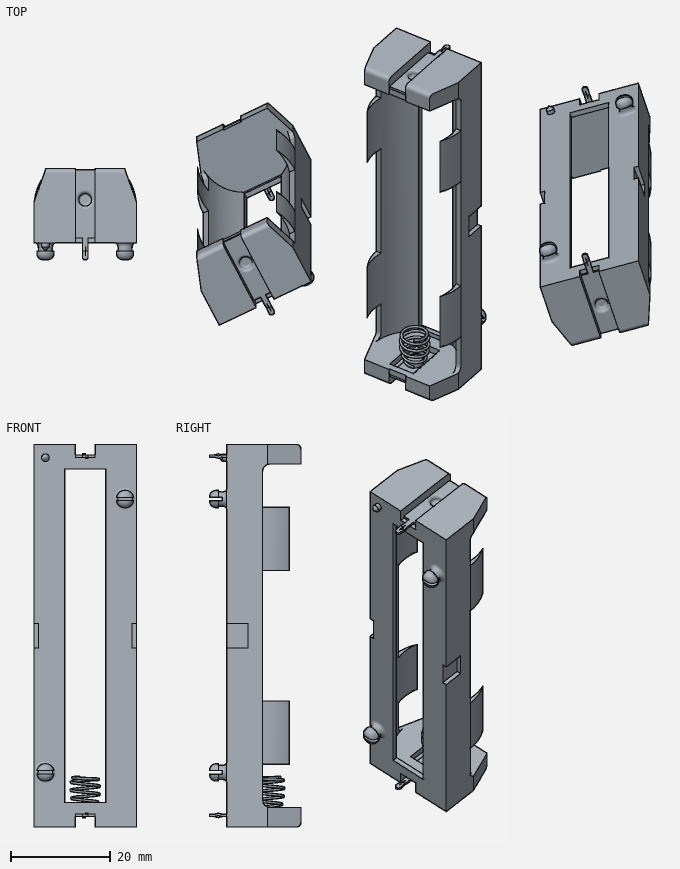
import cadquery as cq
import math

LENGTH = 77.05
WIDTH = 20.65
HALF_LENGTH = LENGTH / 2
HALF_WIDTH = WIDTH / 2
HEIGHT = 14.95
RAIL_HEIGHT = 7.25
END_THICKNESS = 4.0
TAPER_START = 8.2
TAPERED_HALF_WIDTH = 7.9
BLOCK_EDGE_RADIUS = 1.0
RAIL_FILLET = 1.5
BEYOND = 2 * WIDTH

FLOOR = 1.1
TROUGH_RADIUS = 9.4
TROUGH_AXIS_Y = 9.5
TROUGH_HALF_LENGTH = HALF_LENGTH - END_THICKNESS
WINDOW_WIDTH = 8.2
WINDOW_LENGTH = 67.0

LEAF_AXIS_Y = 7.3
LEAF_LENGTH = 12.8
LEAF_CENTRE_Z = 19.5

END_NOTCH_WIDTH = 4.0
END_NOTCH_DEPTH = 2.6
NOTCH_WALL_HEIGHT = 14.7
SIDE_NOTCH_DEPTH = 0.9
SIDE_NOTCH_LENGTH = 5.0
SIDE_NOTCH_HEIGHT = 4.3

PEG_X = 8.0
PEG_Z = 27.5
PEG_LENGTH = 3.5
PEG_NECK_RADIUS = 1.5
PEG_HEAD_RADIUS = 1.8
PEG_HEAD_START = 1.7
PEG_DOME_RADIUS = 1.3
PEG_ROOT_RADIUS = 0.8
PEG_SLOT_WIDTH = 0.7
PEG_SLOT_START = 0.9

BOSS_RADIUS = 0.8
BOSS_HEIGHT = 0.85
BOSS_X = -PEG_X
BOSS_Z = 35.8

PLATE_THICKNESS = 0.5
PLATE_FRONT = 0.9
PLATE_INNER_Z = HALF_LENGTH - END_NOTCH_DEPTH
PLATE_OUTER_Z = PLATE_INNER_Z + PLATE_THICKNESS
PIN_WIDTH = 1.15
PIN_LENGTH = PEG_LENGTH
PIN_END_RADIUS = 0.55
PIN_BOW_START = 0.85
PIN_BOW_END = 2.55
PIN_BOW_OFFSET = 0.2

CONTACT_Y = 8.6
CUP_RADIUS = 1.27
CUP_DEPTH = 1.3
CUP_RIM_RADIUS = 0.7
CUP_FLOOR_RADIUS = 0.5

WIRE_RADIUS = 0.27
SPRING_MAX_RADIUS = 2.85
SPRING_BULGE = 0.115
SPRING_WIDEST_TURN = 3.0
SPRING_PITCH = 1.6
SPRING_OPEN_TURNS = 4.1
SPRING_END_PITCH = 0.6
SPRING_END_TURNS = 0.9
SPRING_START_ANGLE = 120
SPRING_POINTS_PER_TURN = 12
SPRING_SEAT = 0.2
RECESS_HALF_WIDTH = 2.85
RECESS_HALF_HEIGHT = 4.7


def box(x_range, y_range, z_range):
    sizes = [high - low for low, high in (x_range, y_range, z_range)]
    corner = (x_range[0], y_range[0], z_range[0])
    return cq.Workplane("XY").box(*sizes, centered=False).translate(corner)


def around(centre, half):
    return (centre - half, centre + half)



def housing_blank():
    section = [
        (-HALF_WIDTH, 0),
        (HALF_WIDTH, 0),
        (HALF_WIDTH, TAPER_START),
        (TAPERED_HALF_WIDTH, HEIGHT),
        (-TAPERED_HALF_WIDTH, HEIGHT),
        (-HALF_WIDTH, TAPER_START),
    ]
    blank = cq.Workplane("XY").polyline(section).close().extrude(HALF_LENGTH, both=True)
    blank = blank.edges("|X and >Y").fillet(BLOCK_EDGE_RADIUS)
    gap = box(around(0, BEYOND), (RAIL_HEIGHT, BEYOND), around(0, TROUGH_HALF_LENGTH))
    return blank.cut(gap.edges("|X and <Y").fillet(RAIL_FILLET))


def lengthwise_cylinder(radius, axis_y, half_length):
    circle = cq.Workplane("XY").center(0, axis_y).circle(radius)
    return circle.extrude(half_length, both=True)


def trough():
    above_floor = box(around(0, BEYOND), (FLOOR, BEYOND), around(0, HALF_LENGTH))
    cylinder = lengthwise_cylinder(TROUGH_RADIUS, TROUGH_AXIS_Y, TROUGH_HALF_LENGTH)
    return cylinder.intersect(above_floor)


def leaf_blank(centre_z):
    above_floor = box(around(0, BEYOND), (FLOOR, BEYOND), around(0, LEAF_LENGTH))
    blank = lengthwise_cylinder(HALF_WIDTH, LEAF_AXIS_Y, LEAF_LENGTH / 2).intersect(above_floor)
    return blank.translate((0, 0, centre_z))


def window():
    return box(around(0, WINDOW_WIDTH / 2), around(0, FLOOR), around(0, WINDOW_LENGTH / 2))


def end_notch(end_z):
    z_range = around(end_z, END_NOTCH_DEPTH)
    groove = box(around(0, END_NOTCH_WIDTH / 2), around(0, BEYOND), z_range)
    wall_top = box(
        around(0, END_NOTCH_WIDTH / 2), (NOTCH_WALL_HEIGHT, BEYOND), around(end_z, END_THICKNESS)
    )
    return groove.union(wall_top)


def side_notch(side_x):
    return box(
        around(side_x, SIDE_NOTCH_DEPTH), around(0, SIDE_NOTCH_HEIGHT), around(0, SIDE_NOTCH_LENGTH / 2)
    )


def spring_recess():
    return box(
        around(0, RECESS_HALF_WIDTH),
        around(CONTACT_Y, RECESS_HALF_HEIGHT),
        (-PLATE_INNER_Z, -TROUGH_HALF_LENGTH),
    )


def peg(x, z):
    profile = (
        cq.Workplane("XY")
        .lineTo(PEG_NECK_RADIUS + PEG_ROOT_RADIUS, 0)
        .radiusArc((PEG_NECK_RADIUS, -PEG_ROOT_RADIUS), -PEG_ROOT_RADIUS)
        .lineTo(PEG_NECK_RADIUS, -PEG_HEAD_START)
        .lineTo(PEG_HEAD_RADIUS, -PEG_HEAD_START)
        .lineTo(PEG_HEAD_RADIUS, -PEG_LENGTH + PEG_DOME_RADIUS)
        .radiusArc((PEG_HEAD_RADIUS - PEG_DOME_RADIUS, -PEG_LENGTH), PEG_DOME_RADIUS)
        .lineTo(0, -PEG_LENGTH)
        .close()
    )
    solid = profile.revolve(360, (0, 0), (0, 1))
    slot = box(around(0, BEYOND), (-BEYOND, -PEG_SLOT_START), around(0, PEG_SLOT_WIDTH / 2))
    return solid.cut(slot).translate((x, 0, z))


def polarity_boss():
    tip_y = -BOSS_HEIGHT - BOSS_RADIUS
    profile = cq.Workplane("XY").polyline(
        [(0, 0), (BOSS_RADIUS, 0), (BOSS_RADIUS, -BOSS_HEIGHT), (0, tip_y)]
    )
    return profile.close().revolve(360, (0, 0), (0, 1)).translate((BOSS_X, 0, BOSS_Z))


def make_housing():
    body = housing_blank()
    for centre_z in (LEAF_CENTRE_Z, -LEAF_CENTRE_Z):
        body = body.union(leaf_blank(centre_z))
    body = body.cut(trough()).cut(window())
    for end_z in (HALF_LENGTH, -HALF_LENGTH):
        body = body.cut(end_notch(end_z))
    for side_x in (HALF_WIDTH, -HALF_WIDTH):
        body = body.cut(side_notch(side_x))
    for corner in (1, -1):
        body = body.union(peg(corner * PEG_X, corner * PEG_Z))
    body = body.union(polarity_boss())
    return body.cut(spring_recess()).cut(cup_outside())



def cup_outside():
    cylinder = (
        cq.Workplane("XY", origin=(0, CONTACT_Y, PLATE_OUTER_Z))
        .circle(CUP_RADIUS + PLATE_THICKNESS)
        .extrude(-CUP_DEPTH - PLATE_THICKNESS)
    )
    return cylinder.faces("<Z").edges().fillet(CUP_FLOOR_RADIUS + PLATE_THICKNESS)


def cup_inside():
    rim = CUP_RADIUS + CUP_RIM_RADIUS
    floor = CUP_RADIUS - CUP_FLOOR_RADIUS
    profile = (
        cq.Workplane("XZ", origin=(0, CONTACT_Y, PLATE_OUTER_Z))
        .lineTo(rim, 0)
        .radiusArc((CUP_RADIUS, -CUP_RIM_RADIUS), -CUP_RIM_RADIUS)
        .lineTo(CUP_RADIUS, -CUP_DEPTH + CUP_FLOOR_RADIUS)
        .radiusArc((floor, -CUP_DEPTH), CUP_FLOOR_RADIUS)
        .lineTo(0, -CUP_DEPTH)
        .close()
    )
    return profile.revolve(360, (0, 0), (0, 1))


def pin_half(x_start, bow):
    middle_z = PLATE_INNER_Z + PLATE_THICKNESS / 2
    bow_middle = (PIN_BOW_START + PIN_BOW_END) / 2
    centre_line = [
        (PLATE_FRONT, 0),
        (-PIN_BOW_START, 0),
        (-bow_middle, bow),
        (-PIN_BOW_END, 0),
        (-PIN_LENGTH, 0),
    ]
    outer = [(y, middle_z + dz + PLATE_THICKNESS / 2) for y, dz in centre_line]
    inner = [(y, middle_z + dz - PLATE_THICKNESS / 2) for y, dz in reversed(centre_line)]
    outline = cq.Workplane("YZ", origin=(x_start, 0, 0)).polyline(outer + inner).close()
    return outline.extrude(PIN_WIDTH / 2)


def pin():
    bowed = pin_half(-PIN_WIDTH / 2, PIN_BOW_OFFSET).union(pin_half(0, -PIN_BOW_OFFSET))
    rounded = box(around(0, PIN_WIDTH / 2), (-PIN_LENGTH, PLATE_FRONT), (0, HALF_LENGTH))
    return bowed.intersect(rounded.edges("|Z and <Y").fillet(PIN_END_RADIUS))


def make_contact():
    plate = box(
        around(0, END_NOTCH_WIDTH / 2), (PLATE_FRONT, NOTCH_WALL_HEIGHT), (PLATE_INNER_Z, PLATE_OUTER_Z)
    )
    return plate.union(pin()).union(cup_outside()).cut(cup_inside())


def spring_point(turn):
    radius = SPRING_MAX_RADIUS - SPRING_BULGE * (turn - SPRING_WIDEST_TURN) ** 2
    angle = math.radians(SPRING_START_ANGLE - 360 * turn)
    open_turns = min(turn, SPRING_OPEN_TURNS)
    rise = SPRING_PITCH * open_turns + SPRING_END_PITCH * (turn - open_turns)
    return (
        radius * math.cos(angle),
        CONTACT_Y + radius * math.sin(angle),
        -PLATE_INNER_Z + SPRING_SEAT + rise,
    )


def spring():
    turns = SPRING_OPEN_TURNS + SPRING_END_TURNS
    steps = round(turns * SPRING_POINTS_PER_TURN)
    points = [spring_point(turns * step / steps) for step in range(steps + 1)]
    path = cq.Edge.makeSpline([cq.Vector(*point) for point in points])
    start = cq.Plane(origin=points[0], normal=path.tangentAt(0))
    wire_section = cq.Workplane(start).circle(WIRE_RADIUS)
    return wire_section.sweep(cq.Workplane(cq.Wire.assembleEdges([path])), isFrenet=True)


def make_negative_contact():
    return make_contact().mirror("XY").union(spring())


housing = make_housing()
positive_contact = make_contact()
negative_contact = make_negative_contact()
result = cq.Compound.makeCompound([housing.val(), positive_contact.val(), negative_contact.val()])